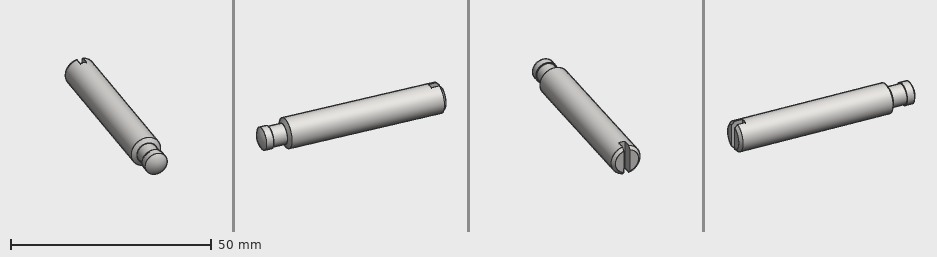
import cadquery as cq

total_length = 50.0
body_diameter = 8.0
neck_diameter = 5.4
head_diameter = 6.0

body_end = 43.2
neck_end = 47.0
dome_start = 49.0

chamfer_length = 0.8
shoulder_taper_length = 0.7
shoulder_taper_depth = 1.2

slot_width = 1.7
slot_depth = 3.0

body_radius = body_diameter / 2
neck_radius = neck_diameter / 2
head_radius = head_diameter / 2


def make_pin():
    """Revolve the half profile: chamfered and tapered body, neck and domed head."""
    dome_height = total_length - dome_start
    dome_radius = (head_radius**2 + dome_height**2) / (2 * dome_height)
    dome_center = total_length - dome_radius
    mid_radius = head_radius / 2
    mid_x = dome_center + (dome_radius**2 - mid_radius**2) ** 0.5
    return (
        cq.Workplane("XY")
        .lineTo(0, body_radius - chamfer_length)
        .lineTo(chamfer_length, body_radius)
        .lineTo(body_end - shoulder_taper_length, body_radius)
        .lineTo(body_end, body_radius - shoulder_taper_depth)
        .lineTo(body_end, neck_radius)
        .lineTo(neck_end, neck_radius)
        .lineTo(neck_end, head_radius)
        .lineTo(dome_start, head_radius)
        .threePointArc((mid_x, mid_radius), (total_length, 0))
        .close()
        .revolve(360, (0, 0, 0), (1, 0, 0))
    )


def make_slot():
    """Slot across the flat end, open at the top and bottom."""
    return cq.Workplane("XY").box(slot_depth, slot_width, body_diameter, centered=(False, True, True))


result = make_pin().cut(make_slot())